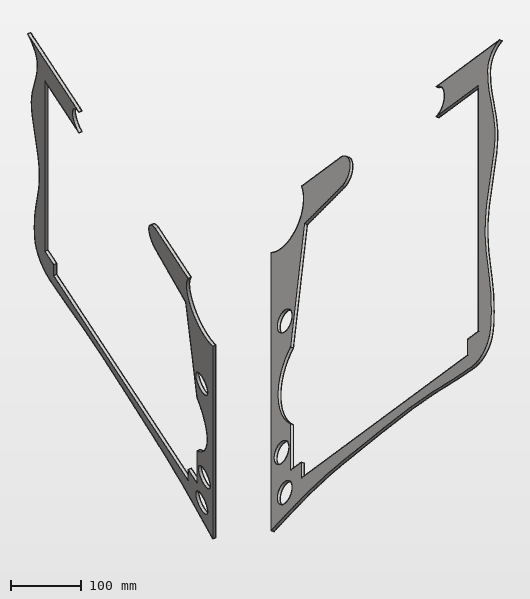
import cadquery as cq

width = 559.0
height = 533.5
thickness = 5.1

window_left = 52.5
window_right = 511.0
window_bottom = 50.5
corner_block = 26.0
block_top = window_bottom + corner_block

arm_depth = 50.0
arm_bottom = height - arm_depth
arm_middle = height - arm_depth / 2
left_arm_end = 155.5
notch_floor = 135.0
right_arm_shoulder = 385.5
right_arm_tip = 365.5
elbow = (476.5, 467.5)

bite_start = 484.5
bite_middle = (495.0, 472.0)
bite_end = 461.0

recess_top = 280.5
recess_middle = 217.0
recess_bottom = 153.0
recess_floor = 541.5

hole_diameter = 36.0
hole_centers = [(525.0, 331.0), (533.0, 117.0), (525.0, 46.5)]

flare_middle = (21.0, 519.5)
flare_end = (29.0, 493.5)
side_wave = [(24.5, 457.0), (11.0, 383.5), (22.5, 318.0), (35.0, 246.5), (28.0, 167.5), (20.0, 95.0)]
corner_middle = (33.0, 41.5)
corner_end = (70.0, 25.5)
bottom_bow = [(139.5, 30.0), (234.5, 33.5), (335.5, 29.5), (419.0, 25.0), (483.5, 16.0), (width, 0.0)]
down = (0, -1)
corner_exit = (1, 0)
bottom_exit = (1, -0.2)


def frame_profile():
    """Closed outline in the XZ plane, starting at the top left corner."""
    profile = cq.Workplane("XZ").moveTo(0, height)

    profile = profile.threePointArc(flare_middle, flare_end)
    profile = profile.spline(side_wave, tangents=[down, down], includeCurrent=True)
    profile = profile.spline(
        [corner_middle, corner_end], tangents=[down, corner_exit], includeCurrent=True
    )
    profile = profile.spline(bottom_bow, tangents=[corner_exit, bottom_exit], includeCurrent=True)

    profile = profile.lineTo(width, bite_end)
    profile = profile.threePointArc(bite_middle, (bite_start, height))
    profile = profile.lineTo(right_arm_shoulder, height)
    profile = profile.threePointArc((right_arm_tip, arm_middle), (right_arm_shoulder, arm_bottom))
    profile = profile.lineTo(*elbow)

    profile = profile.lineTo(window_right, recess_top)
    profile = profile.threePointArc((recess_floor, recess_middle), (window_right, recess_bottom))
    profile = profile.lineTo(window_right, block_top)
    profile = profile.lineTo(window_right - corner_block, block_top)
    profile = profile.lineTo(window_right - corner_block, window_bottom)
    profile = profile.lineTo(window_left + corner_block, window_bottom)
    profile = profile.lineTo(window_left + corner_block, block_top)
    profile = profile.lineTo(window_left, block_top)
    profile = profile.lineTo(window_left, arm_bottom)

    profile = profile.lineTo(left_arm_end, arm_bottom)
    profile = profile.threePointArc((notch_floor, arm_middle), (left_arm_end, height))
    return profile.close()


def hole_cutters():
    """Cylinders through the plate at every hole position."""
    return (
        cq.Workplane("XZ")
        .pushPoints(hole_centers)
        .circle(hole_diameter / 2)
        .extrude(thickness)
    )


result = frame_profile().extrude(thickness).cut(hole_cutters())